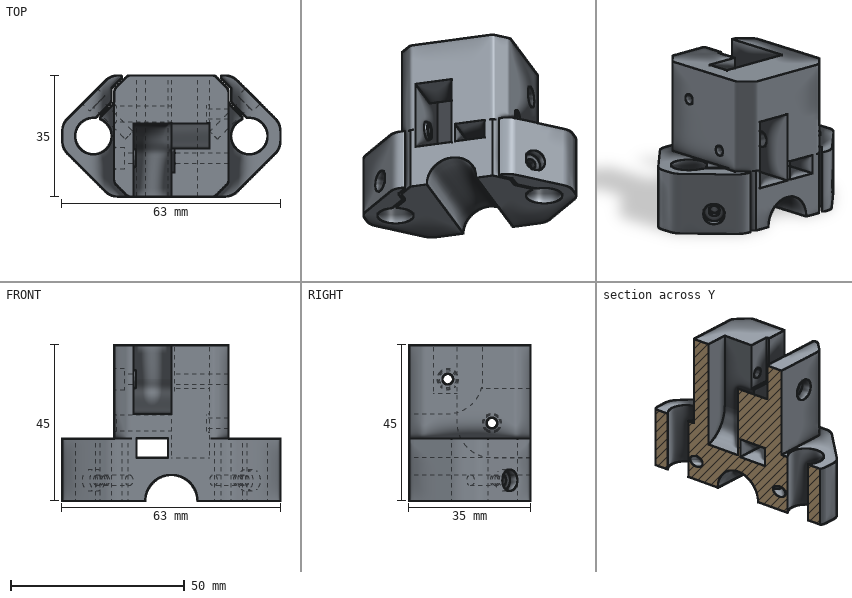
import cadquery as cq

LENGTH = 63.0
WIDTH = 35.0
HEIGHT = 45.0
BASE_HEIGHT = 18.0

BASE_CHAMFER = 14.0
BASE_CORNER_RADIUS = 5.0
ROD_X = 22.5
ROD_RADIUS = 5.2
SLIT_WIDTH = 0.75
SLIT_BEND_Y = 9.45
SLIT_OUTER_RADIUS = 2.0
SLIT_INNER_RADIUS = SLIT_OUTER_RADIUS - SLIT_WIDTH
TIP_RADIUS = 0.5
ARCH_RADIUS = 7.5

TOWER_LENGTH = 33.0
TOWER_CHAMFER = 4.05
TOWER_CORNER_RADIUS = 2.0

SCREW_Y = 11.5
SCREW_Z = 6.0
SCREW_HEAD_RADIUS = 3.1
SCREW_HEAD_DEPTH = 3.0
SCREW_RADIUS = 1.6
SCREW_DEPTH = 16.0

POCKET_LENGTH = 10.95
WHEEL_RADIUS = 10.0
FRONT_AXLE_Y = -6.35
FRONT_AXLE_Z = 35.15
REAR_AXLE_Y = 6.35
REAR_AXLE_Z = 22.5
AXLE_RADIUS = 1.5

SPACER_BASE_RADIUS = 2.8
SPACER_TIP_RADIUS = 2.4
SPACER_HEIGHT = 0.8

FRONT_HEAD_RADIUS = 3.1
FRONT_HEAD_DEPTH = 3.0
REAR_BORE_RADIUS = 2.3
REAR_MOUTH_RADIUS = 2.6
REAR_MOUTH_DEPTH = 0.6
NUT_SLOT_WIDTH = 8.2
NUT_SLOT_DEPTH = 0.95

WINDOW_LEFT = -10.0
WINDOW_LENGTH = 9.0
WINDOW_FLOOR_Z = 12.55
WINDOW_HEIGHT = 5.55

HALF_LENGTH = LENGTH / 2
HALF_WIDTH = WIDTH / 2
HALF_TOWER = TOWER_LENGTH / 2
ROOT_2 = 2**0.5


def chamfered_block(length, chamfer, corner_radius, height):
    """Upright octagonal block with rounded corners, standing on Z = 0."""
    block = cq.Workplane("XY").box(length, WIDTH, height, centered=(True, True, False))
    return block.edges("|Z").chamfer(chamfer).edges("|Z").fillet(corner_radius)


def box_between(x_range, y_range, z_range):
    """Box given by its low and high limits along each axis."""
    limits = (x_range, y_range, z_range)
    size = [high - low for low, high in limits]
    corner = tuple(low for low, high in limits)
    return cq.Workplane("XY").box(*size, centered=False).translate(corner)


def rod_along_x(radius, start_x, end_x, y, z):
    """Cylinder along X between two X positions."""
    return cq.Workplane("YZ", origin=(start_x, y, z)).circle(radius).extrude(end_x - start_x)


def round_upright_edge(solid, x, y, radius):
    """Fillet the vertical edge that passes close to (x, y)."""
    reach = 0.1
    near = cq.selectors.BoxSelector((x - reach, y - reach, 0), (x + reach, y + reach, BASE_HEIGHT))
    return solid.edges("|Z").edges(near).fillet(radius)


def clamp_cut():
    """Rod hole of the left clamp with the bent slit that lets its arm flex."""
    past_edge = 3.15
    to_rod = 5.35
    bend_shift = SLIT_WIDTH * (ROOT_2 - 1)
    inner_x = -HALF_TOWER
    outer_x = inner_x - SLIT_WIDTH
    top_y = HALF_WIDTH - TOWER_CHAMFER
    slit_points = [
        (inner_x - to_rod, SLIT_BEND_Y - to_rod),
        (inner_x, SLIT_BEND_Y),
        (inner_x, top_y),
        (inner_x + TOWER_CHAMFER + past_edge, top_y + TOWER_CHAMFER + past_edge),
        (outer_x + TOWER_CHAMFER + past_edge, top_y + TOWER_CHAMFER + past_edge + bend_shift),
        (outer_x, top_y + bend_shift),
        (outer_x, SLIT_BEND_Y + bend_shift),
        (outer_x - to_rod, SLIT_BEND_Y + bend_shift - to_rod),
    ]
    slit = cq.Workplane("XY").polyline(slit_points).close().extrude(BASE_HEIGHT)
    slit = round_upright_edge(slit, inner_x, SLIT_BEND_Y, SLIT_OUTER_RADIUS)
    slit = round_upright_edge(slit, outer_x, SLIT_BEND_Y + bend_shift, SLIT_INNER_RADIUS)
    slit = round_upright_edge(slit, inner_x, top_y, TOWER_CORNER_RADIUS)
    rod = cq.Workplane("XY").center(-ROD_X, 0).circle(ROD_RADIUS).extrude(BASE_HEIGHT)
    return slit.union(rod)


def clamp_screw_hole():
    """Counterbored blind hole through the left clamp arm, into the base."""
    face_x = SCREW_Y - HALF_LENGTH - HALF_WIDTH + BASE_CHAMFER
    face = cq.Plane(origin=(face_x, SCREW_Y, SCREW_Z), xDir=(0, 0, 1), normal=(1, -1, 0))
    head = cq.Workplane(face).circle(SCREW_HEAD_RADIUS).extrude(SCREW_HEAD_DEPTH)
    return head.union(cq.Workplane(face).circle(SCREW_RADIUS).extrude(SCREW_DEPTH))


def cone_along_x(start_radius, end_radius, start_x, end_x, y, z):
    """Cone along X that changes radius from start_x to end_x."""
    direction = cq.Vector(end_x - start_x, 0, 0)
    cone = cq.Solid.makeCone(
        start_radius, end_radius, direction.Length, cq.Vector(start_x, y, z), direction
    )
    return cq.Workplane(obj=cone)


def spacer(wall_x, tip_x, y, z):
    """Conical spacer that stands on a pocket wall."""
    return cone_along_x(SPACER_BASE_RADIUS, SPACER_TIP_RADIUS, wall_x, tip_x, y, z)


def round_clamp_tips(solid, side):
    """Round the two thin tips of one clamp; side is -1 for left and +1 for right."""
    arm_tip_x = HALF_TOWER - TOWER_CHAMFER + SLIT_WIDTH * ROOT_2
    solid = round_upright_edge(solid, side * arm_tip_x, HALF_WIDTH, TIP_RADIUS)
    wall_offset = SLIT_BEND_Y + HALF_TOWER - ROD_X
    tip_y = (wall_offset + (2 * ROD_RADIUS**2 - wall_offset**2) ** 0.5) / 2
    tip_x = ROD_X + wall_offset - tip_y
    return round_upright_edge(solid, side * tip_x, tip_y, TIP_RADIUS)


base = chamfered_block(LENGTH, BASE_CHAMFER, BASE_CORNER_RADIUS, BASE_HEIGHT)
left_cut = clamp_cut()
base = base.cut(left_cut).cut(left_cut.mirror("YZ"))
tower = chamfered_block(TOWER_LENGTH, TOWER_CHAMFER, TOWER_CORNER_RADIUS, HEIGHT)
body = base.union(tower)
for clamp_side in (-1, 1):
    body = round_clamp_tips(body, clamp_side)

screw = clamp_screw_hole()
body = body.cut(screw).cut(screw.mirror("YZ"))

arch = cq.Workplane("XZ").circle(ARCH_RADIUS).extrude(HALF_WIDTH, both=True)
window = box_between(
    (WINDOW_LEFT, WINDOW_LEFT + WINDOW_LENGTH),
    (-HALF_WIDTH, HALF_WIDTH),
    (WINDOW_FLOOR_Z, WINDOW_FLOOR_Z + WINDOW_HEIGHT),
)
body = body.cut(arch).cut(window)

front_pocket = box_between(
    (-POCKET_LENGTH, 0),
    (-HALF_WIDTH, FRONT_AXLE_Y + WHEEL_RADIUS),
    (FRONT_AXLE_Z - WHEEL_RADIUS, HEIGHT),
)
front_pocket = front_pocket.edges("|X and >Y and <Z").fillet(WHEEL_RADIUS)

rear_pocket = box_between(
    (0, POCKET_LENGTH),
    (REAR_AXLE_Y - WHEEL_RADIUS, HALF_WIDTH),
    (REAR_AXLE_Z - WHEEL_RADIUS, REAR_AXLE_Z + WHEEL_RADIUS),
)
rear_pocket = rear_pocket.edges("|X and <Y and <Z").fillet(WHEEL_RADIUS)
shaft = box_between(
    (0, POCKET_LENGTH),
    (REAR_AXLE_Y - WHEEL_RADIUS, FRONT_AXLE_Y + WHEEL_RADIUS),
    (REAR_AXLE_Z, HEIGHT),
)

nut_slot = box_between(
    (0, NUT_SLOT_DEPTH),
    (FRONT_AXLE_Y - NUT_SLOT_WIDTH / 2, FRONT_AXLE_Y + NUT_SLOT_WIDTH / 2),
    (FRONT_AXLE_Z - NUT_SLOT_WIDTH / 2, HEIGHT),
)

pockets = rear_pocket.union(shaft).union(front_pocket).union(nut_slot)
body = body.cut(pockets)

body = body.union(
    spacer(-POCKET_LENGTH, SPACER_HEIGHT - POCKET_LENGTH, FRONT_AXLE_Y, FRONT_AXLE_Z)
)
body = body.union(
    spacer(POCKET_LENGTH, POCKET_LENGTH - SPACER_HEIGHT, REAR_AXLE_Y, REAR_AXLE_Z)
)
for axle_y, axle_z in [(FRONT_AXLE_Y, FRONT_AXLE_Z), (REAR_AXLE_Y, REAR_AXLE_Z)]:
    body = body.cut(rod_along_x(AXLE_RADIUS, -HALF_TOWER, HALF_TOWER, axle_y, axle_z))
front_head = rod_along_x(
    FRONT_HEAD_RADIUS, -HALF_TOWER, FRONT_HEAD_DEPTH - HALF_TOWER, FRONT_AXLE_Y, FRONT_AXLE_Z
)
rear_bore = rod_along_x(REAR_BORE_RADIUS, -HALF_TOWER, 0, REAR_AXLE_Y, REAR_AXLE_Z)

rear_mouth = cone_along_x(
    REAR_MOUTH_RADIUS,
    REAR_BORE_RADIUS,
    -HALF_TOWER,
    REAR_MOUTH_DEPTH - HALF_TOWER,
    REAR_AXLE_Y,
    REAR_AXLE_Z,
)

result = body.cut(front_head).cut(rear_bore).cut(rear_mouth)